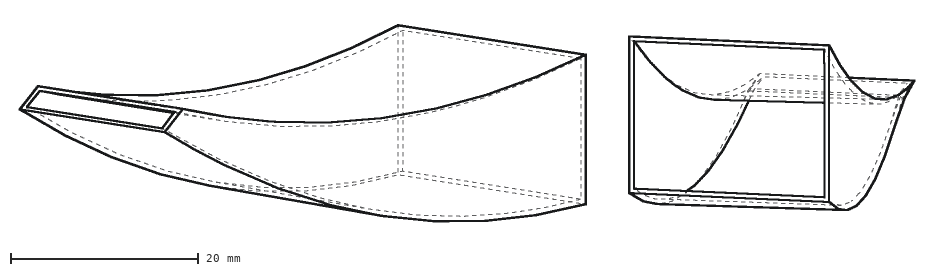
import cadquery as cq

inlet_width = 22.0
inlet_height = 17.0

outlet_width = 17.0
outlet_depth = 4.9
outlet_drop = 1.0
outlet_skew = 0.10
total_width = 42.92
total_length = 51.54
total_height = 22.45

wall_thickness = 0.5

upper_left_sag = 3.75
upper_right_sag = 4.1
lower_left_sag = 4.95
lower_right_sag = 5.3

inlet_corners = [
    cq.Vector(-inlet_width, 0, 0),
    cq.Vector(0, 0, 0),
    cq.Vector(0, 0, inlet_height),
    cq.Vector(-inlet_width, 0, inlet_height),
]

outlet_upper_left = cq.Vector(-total_width, outlet_depth - total_length, total_height)
outlet_across = cq.Vector(outlet_width, 0, 0)
outlet_down = cq.Vector(outlet_skew, -outlet_depth, -outlet_drop)
outlet_corners = [
    outlet_upper_left + outlet_down,
    outlet_upper_left + outlet_down + outlet_across,
    outlet_upper_left + outlet_across,
    outlet_upper_left,
]

corner_sags = [lower_left_sag, lower_right_sag, upper_right_sag, upper_left_sag]


def sagging_edge(start, end, sag):
    """Parabolic edge in the vertical plane through both ends."""
    control = (start + end) * 0.5 - cq.Vector(0, 0, 2 * sag)
    return cq.Edge.makeBezier([start, control, end])


def end_face(corners):
    """Flat face that closes one end of the duct."""
    return cq.Face.makeFromWires(cq.Wire.makePolygon(corners, close=True))


def duct_body():
    """Solid duct: four ruled walls between neighbouring long edges, closed at both ends."""
    edges = [
        sagging_edge(start, end, sag)
        for start, end, sag in zip(inlet_corners, outlet_corners, corner_sags)
    ]
    walls = [
        cq.Face.makeRuledSurface(edges[index - 1], edges[index])
        for index in range(len(edges))
    ]
    ends = [end_face(inlet_corners), end_face(outlet_corners)]
    return cq.Solid.makeSolid(cq.Shell.makeShell(walls + ends))


def hollow(body):
    """Thin the body to its walls, open at the inlet and the outlet."""
    return cq.Workplane(obj=body).faces("%PLANE").shell(-wall_thickness)


result = hollow(duct_body())